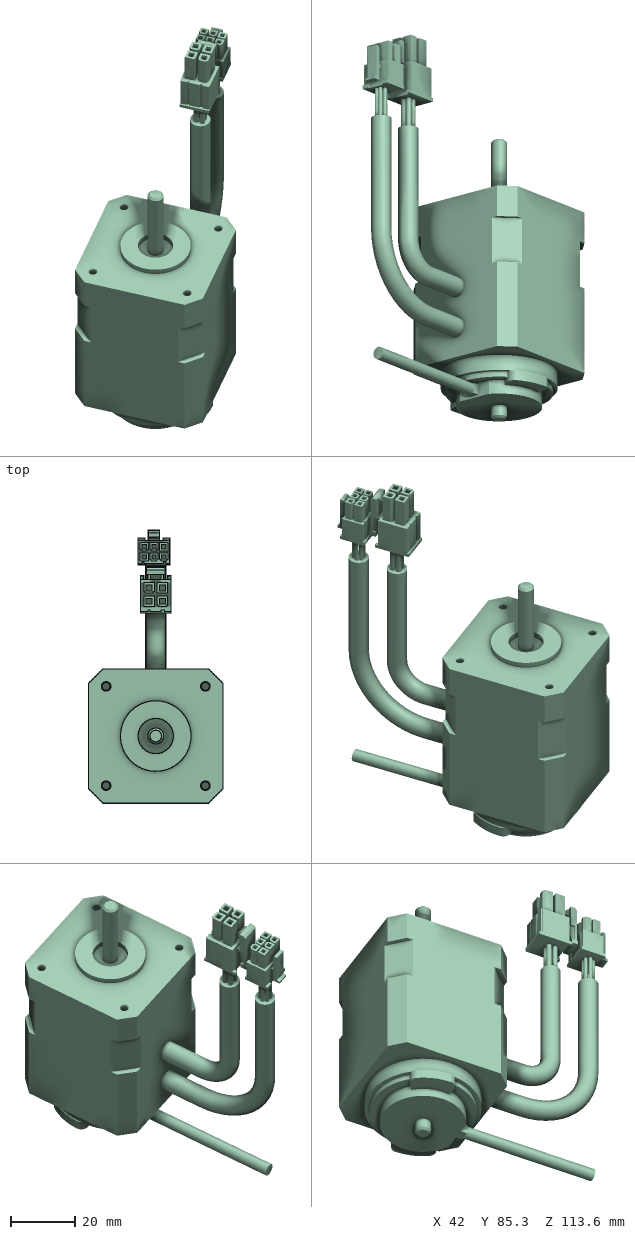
import cadquery as cq
import math


body_width = 42.0
corner_chamfer = 4.5
rear_bottom = 15.1
split_height = 29.8
motor_top = 68.1

pilot_diameter = 22.0
pilot_height = 1.8
recess_diameter = 11.0
recess_depth = 2.0
mount_spacing = 31.0
mount_hole_diameter = 2.5
mount_mouth_diameter = 3.0
mount_hole_depth = 4.5
notch_chamfer = 6.7
notch_bottom = 43.0
notch_top = 58.0

shaft_diameter = 5.0
shaft_top = 92.0
shaft_chamfer = 0.7

brake_diameter = 36.6
brake_bottom = 10.1
step_diameter = 33.6
step_bottom = 8.4
hub_diameter = 26.9
hub_flat_y = 12.2
hub_bottom = 4.0
tab_radius = 18.9
tab_rounding = 2.5
tab_angle = 33.0
tab_bottom = 6.8
brake_cable_diameter = 4.0
brake_cable_height = 6.2
brake_cable_start = 14.5
brake_cable_end = 59.5
stub_size = 3.3

cable_diameter = 6.4
bend_start = 34.8
bend_top = 48.0
jacket_top = 84.2
plug_bottom = 93.7
motor_cable_y = 44.7
rear_cable_y = 58.0

lip_height = 1.1
rib_depth = 0.5

motor_plug_x = 0.0
motor_plug_width = 9.7
motor_plug_front = 39.0
motor_plug_back = 49.0
motor_plug_top = 104.5
motor_rib_inset = 0.1
motor_narrow_groove_x = -2.2
motor_narrow_groove_width = 0.6
motor_wide_groove_x = 2.2
motor_wide_groove_width = 1.0
motor_front_lip = 0.6
motor_back_lip = 1.1
motor_lip_gap = 7.5
motor_post_center_y = 44.2
motor_post_top = 113.6
motor_post_size = 3.3
motor_post_pitch = 4.2
motor_socket_size = 1.8
motor_post_chamfer = 0.7
motor_wire_diameter = 1.7
motor_wire_offset = 1.0
motor_latch_width = 5.9
motor_hook_width = 3.3
motor_leg_width = 4.8
motor_arm_back = 52.6
motor_arm_front = 50.4
motor_arm_top = 111.0
motor_arm_chamfer = 0.7
motor_hook_reach = 1.5
motor_hook_drop = 1.4
motor_hook_bottom = 108.1
motor_foot_bottom = 96.3
motor_foot_shoulder = 97.7
motor_foot_step = 0.3
motor_foot_front_top = 99.3
motor_foot_taper = 0.2
motor_leg_back = 51.9
motor_bridge_bottom = 102.0
motor_bridge_top = 103.5

rear_plug_x = -0.6
rear_plug_width = 10.0
rear_plug_front = 54.0
rear_plug_back = 61.1
rear_plug_top = 101.8
rear_rib_inset = 0.0
rear_groove_offset = 3.4
rear_groove_width = 0.7
rear_front_lip = 0.5
rear_back_lip = 0.8
rear_lip_gap = 5.6
rear_post_top = 108.1
rear_post_size = 2.6
rear_post_column_pitch = 3.1
rear_post_row_pitch = 3.2
rear_socket_size = 1.4
rear_post_chamfer = 0.7
rear_wire_diameter = 1.2
rear_wire_circle = 3.0
rear_wire_count = 6
rear_latch_width = 3.6
rear_latch_front = 61.9
rear_latch_back = 63.4
rear_latch_bottom = 95.2
rear_latch_top = 106.4
rear_foot_back = 64.3
rear_foot_edge_top = 96.0
rear_foot_top = 96.4
rear_tip_inset = 0.3
rear_tip_drop = 0.6
rear_bridge_bottom = 99.1
rear_bridge_top = 100.4


def block(x_min, x_max, y_min, y_max, z_min, z_max):
    """Box given by its limits along each axis."""
    size = (x_max - x_min, y_max - y_min, z_max - z_min)
    return cq.Workplane().box(*size, centered=False).translate((x_min, y_min, z_min))


def disc(diameter, z_min, z_max, x=0.0, y=0.0):
    """Upright cylinder."""
    return cq.Workplane(origin=(x, y, z_min)).circle(diameter / 2).extrude(z_max - z_min)


def octagon_block(chamfer, z_min, z_max):
    """Square block with chamfered upright corners."""
    square = cq.Workplane(origin=(0, 0, z_min)).rect(body_width, body_width)
    return square.extrude(z_max - z_min).edges("|Z").chamfer(chamfer)


def side_profile(points, x_center, width):
    """Outline in Y and Z, extruded along X about x_center."""
    outline = cq.Workplane("YZ", origin=(x_center, 0, 0)).polyline(points).close()
    return outline.extrude(width / 2, both=True)


def make_motor():
    motor = octagon_block(corner_chamfer, split_height, notch_bottom)
    motor = motor.union(octagon_block(notch_chamfer, notch_bottom, notch_top))
    motor = motor.union(octagon_block(corner_chamfer, notch_top, motor_top))

    pilot_top = motor_top + pilot_height
    motor = motor.union(disc(pilot_diameter, motor_top, pilot_top))
    motor = motor.cut(disc(recess_diameter, pilot_top - recess_depth, pilot_top))

    for x_side in (-1, 1):
        for y_side in (-1, 1):
            x = x_side * mount_spacing / 2
            y = y_side * mount_spacing / 2
            motor = motor.cut(mount_hole(x, y))

    shaft = disc(shaft_diameter, 0, shaft_top).faces("<Z or >Z").chamfer(shaft_chamfer)
    return motor.union(shaft)


def mount_hole(x, y):
    """Blind hole with a countersunk mouth."""
    hole_radius = mount_hole_diameter / 2
    mouth_radius = mount_mouth_diameter / 2
    mouth_depth = mouth_radius - hole_radius
    hole = disc(mount_hole_diameter, motor_top - mount_hole_depth, motor_top, x, y)
    mouth_base = cq.Vector(x, y, motor_top - mouth_depth)
    mouth = cq.Solid.makeCone(hole_radius, mouth_radius, mouth_depth, mouth_base)
    return hole.union(cq.Workplane(mouth))


def make_rear_housing():
    housing = octagon_block(corner_chamfer, rear_bottom, split_height)
    return housing.cut(disc(shaft_diameter, rear_bottom, split_height))


def make_brake_tab():
    """Lug with straight sides and rounded corners, from the axis out to tab_radius."""
    center_radius = tab_radius - tab_rounding

    def polar(radius, angle):
        return radius * math.cos(math.radians(angle)), radius * math.sin(math.radians(angle))

    def corner_point(angle, direction):
        x, y = polar(center_radius, angle)
        dx, dy = polar(tab_rounding, direction)
        return x + dx, y + dy

    upper_inner = polar(tab_rounding, 90)
    lower_corner_middle = corner_point(-tab_angle, -tab_angle - 45)
    lower_corner_end = corner_point(-tab_angle, -tab_angle - 90)
    lower_inner = polar(tab_rounding, -tab_angle - 90)
    outline = (
        cq.Workplane(origin=(0, 0, tab_bottom))
        .moveTo(*upper_inner)
        .lineTo(*corner_point(0, 90))
        .threePointArc(corner_point(0, 45), polar(tab_radius, 0))
        .threePointArc(polar(tab_radius, -tab_angle / 2), polar(tab_radius, -tab_angle))
        .threePointArc(lower_corner_middle, lower_corner_end)
        .lineTo(*lower_inner)
        .close()
    )
    return outline.extrude(brake_bottom - tab_bottom)


def make_brake():
    brake = disc(brake_diameter, brake_bottom, rear_bottom)
    brake = brake.union(disc(step_diameter, step_bottom, brake_bottom))
    hub = disc(hub_diameter, hub_bottom, step_bottom)
    hub_radius = hub_diameter / 2
    beyond_flat = block(-hub_radius, hub_radius, hub_flat_y, hub_radius, hub_bottom, step_bottom)
    brake = brake.union(hub.cut(beyond_flat))
    for turn in (0, 180):
        brake = brake.union(make_brake_tab().rotate((0, 0, 0), (0, 0, 1), turn))

    half_stub = stub_size / 2
    stub_low = brake_cable_height - half_stub
    stub_high = brake_cable_height + half_stub
    brake = brake.union(block(-half_stub, half_stub, 0, brake_cable_start, stub_low, stub_high))
    cable_plane = cq.Workplane("XZ", origin=(0, brake_cable_end, brake_cable_height))
    cable = cable_plane.circle(brake_cable_diameter / 2).extrude(brake_cable_end - brake_cable_start)
    brake = brake.union(cable)
    return brake.cut(disc(shaft_diameter, hub_bottom, rear_bottom))


def make_jacket(cable_y):
    """Round cable that leaves the body along Y and bends up to run along Z."""
    bend_radius = cable_y - bend_start
    cable_height = bend_top - bend_radius
    bend_middle = (
        bend_start + bend_radius * math.sin(math.radians(45)),
        bend_top - bend_radius * math.cos(math.radians(45)),
    )
    path = (
        cq.Workplane("YZ")
        .moveTo(body_width / 2, cable_height)
        .lineTo(bend_start, cable_height)
        .threePointArc(bend_middle, (cable_y, bend_top))
        .lineTo(cable_y, jacket_top)
    )
    start = cq.Workplane("XZ", origin=(0, body_width / 2, cable_height))
    return start.circle(cable_diameter / 2).sweep(path)


def make_plug_body(x_center, width, front, back, top, rib_inset, grooves):
    """Plug block with a raised front that is split into ribs by (x, width) grooves."""
    x_min = x_center - width / 2
    x_max = x_center + width / 2
    body = block(x_min, x_max, front + rib_depth, back, plug_bottom, top)
    ribs = block(x_min + rib_inset, x_max - rib_inset, front, front + rib_depth, plug_bottom, top)
    for groove_x, groove_width in grooves:
        groove_min = groove_x - groove_width / 2
        groove_max = groove_x + groove_width / 2
        ribs = ribs.cut(block(groove_min, groove_max, front, front + rib_depth, plug_bottom, top))
    return body.union(ribs)


def make_plug_lips(x_center, width, front, back, front_lip, back_lip, gap):
    """Lips along the lower front and back edges; the back one is open below the latch."""
    x_min = x_center - width / 2
    x_max = x_center + width / 2
    lip_top = plug_bottom + lip_height
    lips = block(x_min, x_max, front - front_lip, back + back_lip, plug_bottom, lip_top)
    half_gap = gap / 2
    opening = block(x_center - half_gap, x_center + half_gap, back, back + back_lip, plug_bottom, lip_top)
    return lips.cut(opening)


def make_post(x, y, size, socket, bottom, top, chamfer, is_keyed):
    """Square contact post with a square socket; keyed posts have two chamfered front edges."""
    post = cq.Workplane(origin=(x, y, bottom)).rect(size, size).extrude(top - bottom)
    if is_keyed:
        post = post.faces("<Y").edges("|Z").chamfer(chamfer)
    hole = cq.Workplane(origin=(x, y, bottom)).rect(socket, socket).extrude(top - bottom)
    return post.cut(hole)


def make_wire(x, y, diameter):
    return disc(diameter, jacket_top, plug_bottom, x, y)


def make_motor_latch():
    """Latch arm with a narrower hook, and a leg bridged to the plug."""
    foot_back = motor_arm_back + motor_foot_step
    foot_front = motor_arm_front + motor_foot_step
    leg_bottom = motor_foot_shoulder + motor_foot_step
    hook_tip = motor_arm_front - motor_hook_reach
    arm_outline = [
        (foot_back, motor_foot_bottom),
        (foot_back, motor_foot_shoulder),
        (motor_arm_back, leg_bottom),
        (motor_arm_back, motor_arm_top - motor_arm_chamfer),
        (motor_arm_back - motor_arm_chamfer, motor_arm_top),
        (motor_arm_front, motor_arm_top),
        (motor_arm_front, motor_foot_front_top + motor_foot_taper),
        (foot_front, motor_foot_front_top),
        (foot_front, motor_foot_bottom),
    ]
    hook_outline = [
        (motor_arm_front, motor_arm_top),
        (hook_tip, motor_arm_top - motor_hook_drop),
        (hook_tip, motor_hook_bottom),
        (motor_arm_front, motor_hook_bottom),
    ]
    latch = side_profile(arm_outline, motor_plug_x, motor_latch_width)

    arm_left = motor_plug_x - motor_latch_width / 2
    arm_right = motor_plug_x + motor_latch_width / 2
    leg_left = motor_plug_x - motor_leg_width / 2
    leg_right = motor_plug_x + motor_leg_width / 2
    recess = block(
        arm_left, arm_right, motor_plug_back, motor_leg_back, leg_bottom, motor_bridge_top,
    )
    leg = block(
        leg_left, leg_right, motor_plug_back, motor_leg_back, leg_bottom, motor_bridge_top,
    )
    latch = latch.cut(recess.cut(leg))
    latch = latch.union(side_profile(hook_outline, motor_plug_x, motor_hook_width))
    bridge = block(
        leg_left, leg_right, motor_plug_back, motor_leg_back, motor_bridge_bottom, motor_bridge_top,
    )
    return latch.union(bridge)


def make_motor_cable():
    cable = make_jacket(motor_cable_y)
    for x_side in (-1, 1):
        for y_side in (-1, 1):
            x = x_side * motor_wire_offset
            y = motor_cable_y + y_side * motor_wire_offset
            cable = cable.union(make_wire(x, y, motor_wire_diameter))

    grooves = [
        (motor_narrow_groove_x, motor_narrow_groove_width),
        (motor_wide_groove_x, motor_wide_groove_width),
    ]
    cable = cable.union(make_plug_body(
        motor_plug_x, motor_plug_width, motor_plug_front, motor_plug_back,
        motor_plug_top, motor_rib_inset, grooves,
    ))
    cable = cable.union(make_plug_lips(
        motor_plug_x, motor_plug_width, motor_plug_front, motor_plug_back,
        motor_front_lip, motor_back_lip, motor_lip_gap,
    ))
    for x_side in (-1, 1):
        for y_side in (-1, 1):
            cable = cable.union(make_post(
                motor_plug_x + x_side * motor_post_pitch / 2,
                motor_post_center_y + y_side * motor_post_pitch / 2,
                motor_post_size, motor_socket_size, motor_plug_top, motor_post_top,
                motor_post_chamfer, x_side != y_side,
            ))
    return cable.union(make_motor_latch())


def make_rear_latch():
    """Straight latch arm with a foot, bridged to the plug."""
    outline = [
        (rear_latch_front, rear_latch_bottom),
        (rear_foot_back, rear_latch_bottom),
        (rear_foot_back, rear_foot_edge_top),
        (rear_latch_back, rear_foot_top),
        (rear_latch_back, rear_latch_top),
        (rear_latch_front + rear_tip_inset, rear_latch_top),
        (rear_latch_front, rear_latch_top - rear_tip_drop),
    ]
    latch = side_profile(outline, rear_plug_x, rear_latch_width)
    half_latch = rear_latch_width / 2
    bridge = block(
        rear_plug_x - half_latch, rear_plug_x + half_latch,
        rear_plug_back, rear_latch_front, rear_bridge_bottom, rear_bridge_top,
    )
    return latch.union(bridge)


def make_rear_cable():
    cable = make_jacket(rear_cable_y)
    for index in range(rear_wire_count):
        angle = math.radians(index * 360 / rear_wire_count)
        x = rear_wire_circle / 2 * math.cos(angle)
        y = rear_cable_y + rear_wire_circle / 2 * math.sin(angle)
        cable = cable.union(make_wire(x, y, rear_wire_diameter))

    grooves = [(rear_plug_x + side * rear_groove_offset, rear_groove_width) for side in (-1, 1)]
    cable = cable.union(make_plug_body(
        rear_plug_x, rear_plug_width, rear_plug_front, rear_plug_back,
        rear_plug_top, rear_rib_inset, grooves,
    ))
    cable = cable.union(make_plug_lips(
        rear_plug_x, rear_plug_width, rear_plug_front, rear_plug_back,
        rear_front_lip, rear_back_lip, rear_lip_gap,
    ))
    post_center_y = (rear_plug_front + rear_plug_back) / 2
    for column in (-1, 0, 1):
        for y_side in (-1, 1):
            is_keyed = column == 0 or column == -y_side
            cable = cable.union(make_post(
                rear_plug_x + column * rear_post_column_pitch,
                post_center_y + y_side * rear_post_row_pitch / 2,
                rear_post_size, rear_socket_size, rear_plug_top, rear_post_top,
                rear_post_chamfer, is_keyed,
            ))
    return cable.union(make_rear_latch())


motor = make_motor()
rear_housing = make_rear_housing()
brake = make_brake()
motor_cable = make_motor_cable()
rear_cable = make_rear_cable()

result = cq.Compound.makeCompound([
    motor.val(),
    rear_housing.val(),
    brake.val(),
    motor_cable.val(),
    rear_cable.val(),
])